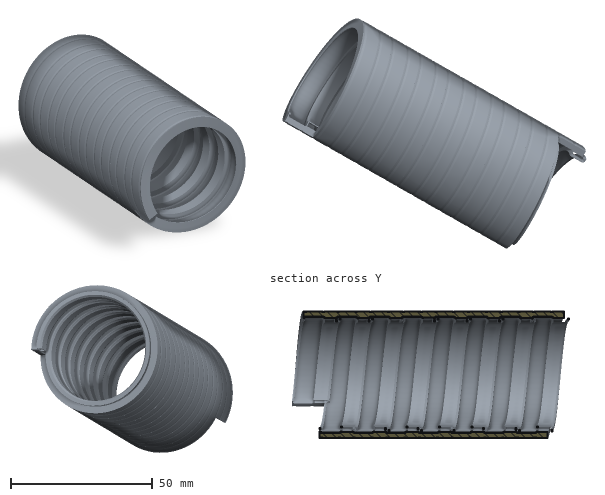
import cadquery as cq

pitch = 11.55
turns = 7 + 7 / 12
hook_reach = 1.71

sheet = 0.3
bore_radius = 18.2
strip_radius = 20.7
sheath_radius = 22.5
groove_radius = 22.35

bend_rise = 0.6
bend_run = 0.8
inner_rise = bend_rise - sheet

lip_flat = 0.3
lip_reach = 0.8
lip_drop = 0.5

hook_left = -hook_reach
web_left = 3.65
web_right = web_left + sheet
hook_right = pitch
upper_left = web_left + bend_run
upper_right = hook_right - bend_run
lower_left = hook_left + bend_run

lower_top = bore_radius + sheet
upper_bottom = strip_radius - sheet
lower_bend = bore_radius + bend_rise
upper_bend = strip_radius - bend_rise
left_lip_top = upper_bend
right_lip_bottom = lower_bend

groove_half_width = 0.8


def wind(corners):
    """Solid made by winding a closed profile with the given (axial, radius) corners."""
    height = pitch * turns
    helices = []
    for axial, radius in corners:
        wire = cq.Wire.makeHelix(pitch, height, radius, center=cq.Vector(0, 0, axial))
        helices.append(wire.Edges()[0])
    sides = [cq.Face.makeRuledSurface(helix, helices[i - 1]) for i, helix in enumerate(helices)]
    ends = []
    for position in (0, 1):
        outline = cq.Wire.makePolygon([helix.positionAt(position) for helix in helices], close=True)
        ends.append(cq.Face.makeFromWires(outline))
    solid = cq.Solid.makeSolid(cq.Shell.makeShell(sides + ends))
    return cq.Workplane(solid.rotate(cq.Vector(0, 0, 0), cq.Vector(1, 1, 1), 120))


def make_strip():
    """Thin Z-shaped strip whose right hook lies inside the left hook of the next turn."""
    underside = [
        (hook_left, left_lip_top),
        (hook_left, lower_bend),
        (lower_left, bore_radius),
        (web_right, bore_radius),
        (web_right, upper_bottom - inner_rise),
        (upper_left, upper_bottom),
        (upper_right, upper_bottom),
        (hook_right - sheet, upper_bottom - inner_rise),
        (hook_right - sheet, right_lip_bottom + sheet),
    ]
    right_lip = [
        (hook_right - lip_reach, right_lip_bottom + lip_drop + sheet),
        (hook_right - lip_reach, right_lip_bottom + lip_drop),
        (hook_right - lip_flat, right_lip_bottom),
    ]
    topside = [
        (hook_right, right_lip_bottom),
        (hook_right, upper_bend),
        (upper_right, strip_radius),
        (upper_left, strip_radius),
        (web_left, upper_bend),
        (web_left, lower_top),
        (lower_left, lower_top),
        (hook_left + sheet, lower_top + inner_rise),
        (hook_left + sheet, left_lip_top - sheet),
    ]
    left_lip = [
        (hook_left + lip_reach, left_lip_top - lip_drop - sheet),
        (hook_left + lip_reach, left_lip_top - lip_drop),
        (hook_left + lip_flat, left_lip_top),
    ]
    return wind(underside + right_lip + topside + left_lip)


def make_sheath():
    """Cover whose turns touch side by side, seated on the outside of the strip."""
    corners = [
        (0, upper_bend),
        (web_left, upper_bend),
        (upper_left, strip_radius),
        (upper_right, strip_radius),
        (hook_right, upper_bend),
        (hook_right, sheath_radius),
    ]
    for groove in (upper_right, upper_left):
        corners += [
            (groove + groove_half_width, sheath_radius),
            (groove, groove_radius),
            (groove - groove_half_width, sheath_radius),
        ]
    corners.append((0, sheath_radius))
    return wind(corners)


strip = make_strip()
sheath = make_sheath()
result = cq.Compound.makeCompound([strip.val(), sheath.val()])